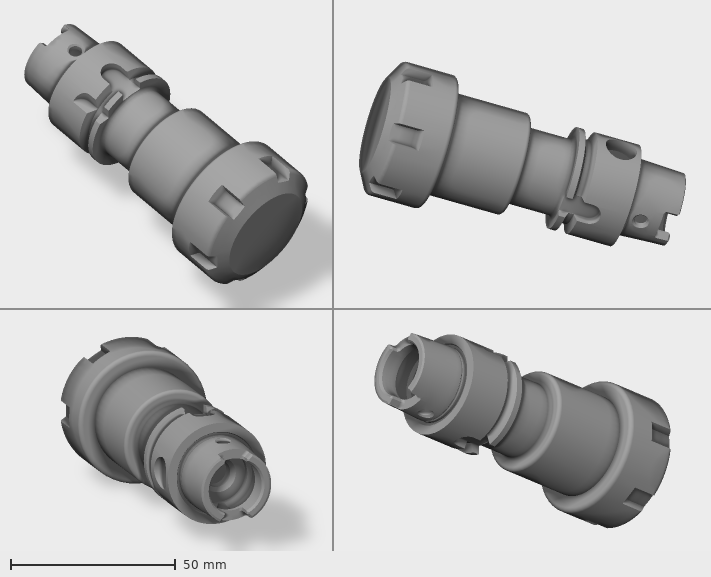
import cadquery as cq
import math

LENGTH = 95.9

SHANK_LENGTH = 16.0
SHANK_END_RADIUS = 11.4
SHANK_BASE_RADIUS = 12.1
SHANK_END_CHAMFER_LENGTH = 0.3
SHANK_END_CHAMFER_DEPTH = 0.7
UNDERCUT_START = 14.7
UNDERCUT_FLOOR_LENGTH = 0.3
UNDERCUT_DEPTH = 0.3

FACE_RECESS_RADIUS = 13.1
FACE_RECESS_CHAMFER = 0.3
FACE_RECESS_DEPTH = 0.5

FLANGE_RADIUS = 16.0
FLANGE_END = 35.9
GROOVE_RADIUS = 13.2
GROOVE_START = 30.0
GROOVE_END = 33.9
GROOVE_FLANK = 1.1

NECK_RADIUS = 12.0
NECK_FILLET = 1.0
BODY_START = 51.1
BODY_RADIUS = FLANGE_RADIUS
BODY_EDGE_FILLET = 1.15

BORE_RADIUS = 8.5
BORE_CHAMFER_DEPTH = 0.6
BORE_CHAMFER_LENGTH = 0.9
BORE_DEPTH = 14.4
CLAMP_GROOVE_START = 6.3
CLAMP_GROOVE_TAPER_START = 11.9
CLAMP_GROOVE_RADIUS = 9.8
CLAMP_SHOULDER_ANGLE = 60.0
PILOT_RADIUS = 5.5
PILOT_TIP_RADIUS = 4.2
PILOT_CONE_LENGTH = 1.4
PILOT_DEPTH = 4.8

CROSS_HOLE_X = 10.8
CROSS_HOLE_RADIUS = 2.0
CROSS_HOLE_SINK_RADIUS = 2.7

UPPER_SLOT_DEPTH = 3.1
LOWER_SLOT_DEPTH = 4.9
DRIVE_SLOT_HALF_WIDTH = 3.55
DRIVE_SLOT_FLOOR_FILLET = 0.9
DRIVE_SLOT_MOUTH_BEVEL = 0.6
DRIVE_SLOT_MOUTH_ANGLE = 45.0
DRIVE_SLOT_FLARE_START = 8.8
DRIVE_SLOT_FLARE_END = 10.2
DRIVE_SLOT_FLARE_HALF_WIDTH = 5.0

FLANGE_SLOT_HALF_WIDTH = 3.55
FLANGE_SLOT_CENTRE_X = 27.3
FLANGE_SLOT_FLOOR = 12.8
FLANGE_SLOT_FLOOR_FILLET = 0.4
SIDE_NOTCH_FLOOR = 9.4
SIDE_NOTCH_Y = -12.9

CHIP_POCKET_X = 22.4
CHIP_POCKET_RADIUS = 5.0
CHIP_POCKET_DEPTH = 4.6

NUT_START = 75.9
NUT_RADIUS = 21.0
NUT_BACK_FILLET = 1.3
NUT_CONE_START = 92.4
NUT_CONE_ANGLE = 60.0
NUT_CONE_FILLET = 1.4
NUT_SLOT_COUNT = 6
NUT_SLOT_START = 84.4
NUT_SLOT_FLOOR = 18.2
NUT_SLOT_END_ANGLE = 60.0
NUT_SLOT_END_FILLET = 1.3
NUT_SLOT_HALF_WIDTH = 3.4
NUT_SLOT_WALL_ANGLE = 15.0

CLEARANCE = 4.8


def revolve_about_x(profile):
    """Turn a closed (X, radius) outline into a solid of revolution about the X axis."""
    return profile.close().revolve(360, (0, 0, 0), (1, 0, 0))


def make_holder_blank():
    undercut_floor_start = UNDERCUT_START + UNDERCUT_DEPTH
    undercut_floor_end = undercut_floor_start + UNDERCUT_FLOOR_LENGTH
    undercut_radius = SHANK_BASE_RADIUS - UNDERCUT_DEPTH
    recess_floor_x = SHANK_LENGTH + FACE_RECESS_DEPTH
    arc_offset = 1 - math.sqrt(0.5)
    profile = (
        cq.Workplane("XY")
        .moveTo(0, 0)
        .lineTo(0, SHANK_END_RADIUS - SHANK_END_CHAMFER_DEPTH)
        .lineTo(SHANK_END_CHAMFER_LENGTH, SHANK_END_RADIUS)
        .lineTo(UNDERCUT_START, SHANK_BASE_RADIUS)
        .lineTo(undercut_floor_start, undercut_radius)
        .lineTo(undercut_floor_end, undercut_radius)
        .lineTo(undercut_floor_end + UNDERCUT_DEPTH, SHANK_BASE_RADIUS)
        .lineTo(recess_floor_x, SHANK_BASE_RADIUS)
        .lineTo(recess_floor_x, FACE_RECESS_RADIUS - FACE_RECESS_CHAMFER)
        .lineTo(SHANK_LENGTH, FACE_RECESS_RADIUS)
        .lineTo(SHANK_LENGTH, FLANGE_RADIUS)
        .lineTo(GROOVE_START, FLANGE_RADIUS)
        .lineTo(GROOVE_START + GROOVE_FLANK, GROOVE_RADIUS)
        .lineTo(GROOVE_END - GROOVE_FLANK, GROOVE_RADIUS)
        .lineTo(GROOVE_END, FLANGE_RADIUS)
        .lineTo(FLANGE_END, FLANGE_RADIUS)
        .lineTo(FLANGE_END, NECK_RADIUS + NECK_FILLET)
        .threePointArc(
            (FLANGE_END + arc_offset * NECK_FILLET, NECK_RADIUS + arc_offset * NECK_FILLET),
            (FLANGE_END + NECK_FILLET, NECK_RADIUS),
        )
        .lineTo(BODY_START - NECK_FILLET, NECK_RADIUS)
        .threePointArc(
            (BODY_START - arc_offset * NECK_FILLET, NECK_RADIUS + arc_offset * NECK_FILLET),
            (BODY_START, NECK_RADIUS + NECK_FILLET),
        )
        .lineTo(BODY_START, BODY_RADIUS - BODY_EDGE_FILLET)
        .threePointArc(
            (BODY_START + arc_offset * BODY_EDGE_FILLET, BODY_RADIUS - arc_offset * BODY_EDGE_FILLET),
            (BODY_START + BODY_EDGE_FILLET, BODY_RADIUS),
        )
        .lineTo(NUT_START, BODY_RADIUS)
        .lineTo(NUT_START, 0)
    )
    return revolve_about_x(profile)


def make_shank_bore():
    """Chamfered bore with an inner clamping groove, and a smaller countersunk pilot hole in its floor."""
    groove_depth = CLAMP_GROOVE_RADIUS - BORE_RADIUS
    shoulder_length = groove_depth / math.tan(math.radians(CLAMP_SHOULDER_ANGLE))
    pilot_end = BORE_DEPTH + PILOT_DEPTH
    profile = (
        cq.Workplane("XY")
        .moveTo(0, 0)
        .lineTo(0, BORE_RADIUS + BORE_CHAMFER_DEPTH)
        .lineTo(BORE_CHAMFER_LENGTH, BORE_RADIUS)
        .lineTo(CLAMP_GROOVE_START, BORE_RADIUS)
        .lineTo(CLAMP_GROOVE_START + shoulder_length, CLAMP_GROOVE_RADIUS)
        .lineTo(CLAMP_GROOVE_TAPER_START, CLAMP_GROOVE_RADIUS)
        .lineTo(CLAMP_GROOVE_TAPER_START + shoulder_length, BORE_RADIUS)
        .lineTo(BORE_DEPTH, BORE_RADIUS)
        .lineTo(BORE_DEPTH, PILOT_RADIUS)
        .lineTo(BORE_DEPTH + PILOT_CONE_LENGTH, PILOT_TIP_RADIUS)
        .lineTo(pilot_end, PILOT_TIP_RADIUS)
        .lineTo(pilot_end, 0)
    )
    return revolve_about_x(profile)


def make_cross_hole():
    """Radial hole along Z, countersunk where it breaks out of the shank at both ends."""
    sink_depth = CROSS_HOLE_SINK_RADIUS - CROSS_HOLE_RADIUS
    taper_rise = SHANK_BASE_RADIUS - SHANK_END_RADIUS
    mouth_z = SHANK_END_RADIUS + taper_rise * CROSS_HOLE_X / UNDERCUT_START
    half_profile = (
        cq.Workplane("XZ")
        .moveTo(0, 0)
        .lineTo(CROSS_HOLE_RADIUS, 0)
        .lineTo(CROSS_HOLE_RADIUS, mouth_z - sink_depth)
        .lineTo(CROSS_HOLE_SINK_RADIUS, mouth_z)
        .lineTo(CROSS_HOLE_SINK_RADIUS, mouth_z + CLEARANCE)
        .lineTo(0, mouth_z + CLEARANCE)
        .close()
    )
    upper = half_profile.revolve(360, (0, 0, 0), (0, 1, 0))
    lower = upper.mirror("XY")
    return upper.union(lower).translate((CROSS_HOLE_X, 0, 0))


def make_drive_slot(depth):
    """Slot on the +Z side of the shank end, flared outwards, with a bevelled mouth and a rounded floor."""
    half = DRIVE_SLOT_HALF_WIDTH
    flare_half = DRIVE_SLOT_FLARE_HALF_WIDTH
    top = SHANK_BASE_RADIUS + CLEARANCE
    section = [
        (-half, 0),
        (half, 0),
        (half, DRIVE_SLOT_FLARE_START),
        (flare_half, DRIVE_SLOT_FLARE_END),
        (flare_half, top),
        (-flare_half, top),
        (-flare_half, DRIVE_SLOT_FLARE_END),
        (-half, DRIVE_SLOT_FLARE_START),
    ]
    channel = (
        cq.Workplane("YZ")
        .polyline(section)
        .close()
        .extrude(depth)
        .faces(">X")
        .edges("not |Y")
        .fillet(DRIVE_SLOT_FLOOR_FILLET)
    )
    mouth = (
        cq.Workplane("YZ", origin=(DRIVE_SLOT_MOUTH_BEVEL, 0, 0))
        .polyline(section)
        .close()
        .extrude(-DRIVE_SLOT_MOUTH_BEVEL, taper=-DRIVE_SLOT_MOUTH_ANGLE)
    )
    return channel.union(mouth)


def make_flange_slot(floor_z, centre_y):
    """Round-ended slot running along X, open upwards and at the neck end of the flange."""
    straight = FLANGE_END - FLANGE_SLOT_CENTRE_X
    height = FLANGE_RADIUS + CLEARANCE - floor_z
    half = FLANGE_SLOT_HALF_WIDTH
    slot = (
        cq.Workplane("XY")
        .moveTo(straight, -half)
        .lineTo(0, -half)
        .threePointArc((-half, 0), (0, half))
        .lineTo(straight, half)
        .close()
        .extrude(height)
        .edges("<Z and (not >X)")
        .fillet(FLANGE_SLOT_FLOOR_FILLET)
    )
    return slot.translate((FLANGE_SLOT_CENTRE_X, centre_y, floor_z))


def make_chip_pocket():
    return (
        cq.Workplane("XZ", origin=(CHIP_POCKET_X, FLANGE_RADIUS, 0))
        .circle(CHIP_POCKET_RADIUS)
        .extrude(CHIP_POCKET_DEPTH)
    )


def make_holder():
    top_flange_slot = make_flange_slot(FLANGE_SLOT_FLOOR, 0)
    return (
        make_holder_blank()
        .cut(make_shank_bore())
        .cut(make_cross_hole())
        .cut(make_drive_slot(UPPER_SLOT_DEPTH))
        .cut(make_drive_slot(LOWER_SLOT_DEPTH).mirror("XY"))
        .cut(top_flange_slot)
        .cut(top_flange_slot.mirror("XY"))
        .cut(make_flange_slot(SIDE_NOTCH_FLOOR, SIDE_NOTCH_Y))
        .cut(make_chip_pocket())
    )


def make_nut_blank():
    cone_drop = (LENGTH - NUT_CONE_START) * math.tan(math.radians(NUT_CONE_ANGLE))
    profile = (
        cq.Workplane("XY")
        .moveTo(NUT_START, 0)
        .lineTo(NUT_START, NUT_RADIUS)
        .lineTo(NUT_CONE_START, NUT_RADIUS)
        .lineTo(LENGTH, NUT_RADIUS - cone_drop)
        .lineTo(LENGTH, 0)
    )
    reach = NUT_RADIUS + CLEARANCE
    cone_edge_box = cq.selectors.BoxSelector(
        (NUT_CONE_START - NUT_CONE_FILLET, -reach, -reach),
        (NUT_CONE_START + NUT_CONE_FILLET, reach, reach),
        boundingbox=True,
    )
    return (
        revolve_about_x(profile)
        .edges(cone_edge_box)
        .fillet(NUT_CONE_FILLET)
        .faces("<X")
        .edges()
        .fillet(NUT_BACK_FILLET)
    )


def make_nut_slot():
    """Spanner slot on the -Y side: sloping end wall, side walls that close in towards the floor."""
    reach = NUT_RADIUS + CLEARANCE
    end_x = LENGTH + CLEARANCE
    end_slope = math.tan(math.radians(NUT_SLOT_END_ANGLE))
    floor_start = NUT_SLOT_START + (NUT_RADIUS - NUT_SLOT_FLOOR) / end_slope
    outer_start = floor_start - (reach - NUT_SLOT_FLOOR) / end_slope
    along = (
        cq.Workplane("XY")
        .polyline([
            (floor_start, -NUT_SLOT_FLOOR),
            (outer_start, -reach),
            (end_x, -reach),
            (end_x, -NUT_SLOT_FLOOR),
        ])
        .close()
        .extrude(NUT_RADIUS, both=True)
        .edges(cq.selectors.NearestToPointSelector((floor_start, -NUT_SLOT_FLOOR, 0)))
        .fillet(NUT_SLOT_END_FILLET)
    )
    wall_slope = math.tan(math.radians(NUT_SLOT_WALL_ANGLE))
    floor_half = NUT_SLOT_HALF_WIDTH - (NUT_RADIUS - NUT_SLOT_FLOOR) * wall_slope
    outer_half = NUT_SLOT_HALF_WIDTH + CLEARANCE * wall_slope
    across = (
        cq.Workplane("YZ")
        .polyline([
            (-NUT_SLOT_FLOOR, floor_half),
            (-reach, outer_half),
            (-reach, -outer_half),
            (-NUT_SLOT_FLOOR, -floor_half),
        ])
        .close()
        .extrude(end_x)
    )
    return along.intersect(across)


def make_nut():
    nut = make_nut_blank()
    slot = make_nut_slot()
    for index in range(NUT_SLOT_COUNT):
        angle = index * 360 / NUT_SLOT_COUNT
        nut = nut.cut(slot.rotate((0, 0, 0), (1, 0, 0), angle))
    return nut


holder = make_holder()
nut = make_nut()

result = cq.Compound.makeCompound([holder.val(), nut.val()])